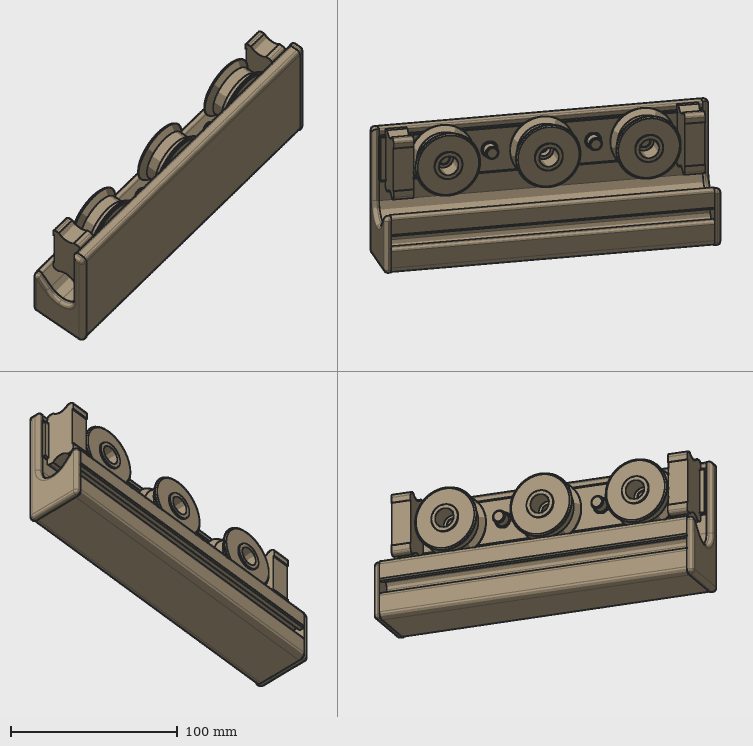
import cadquery as cq
import math


total_length = 208.0
cap_length = 4.0
body_length = total_length - 2 * cap_length
total_width = 38.8
front_x = -19.9
back_x = front_x + total_width
wall_top_z = 81.8

wall_face_x = 10.85
back_arc_radius = 10.6
front_arc_radius = 13.0
channel_bottom_z = 25.5
slope_angle = 45.0
lip_radius = 2.3
bottom_edge_radius = 4.0
top_edge_radius = 2.6
rim_radius = 1.2
cap_edge_radius = 2.6
cap_clearance = 0.2

pad_face_x = 9.65
pad_centre_z = 62.9
pad_height = 27.3
pad_length = 198.4
relief_side = 1.3
relief_depth = 0.6

slot_bottom_z = 16.5
slot_top_z = 23.9
slot_lip_radius = 2.0
slot_chamfer_height = 1.2
slot_chamfer_depth = 0.6
cavity_start_x = front_x + 3.6
cavity_end_x = front_x + 11.5
cavity_bottom_z = 12.7
cavity_top_z = 27.0
cavity_radius = 5.0

roller_pitch = 62.0
roller_z = 62.35
roller_diameter = 39.9
roller_groove_diameter = 33.5
roller_groove_half_flat = 3.45
roller_slope_end = 7.1
roller_rim_end = 7.8
roller_flange_half = 8.5
roller_chamfer_height = 1.0
hub_diameter = 17.2
roller_bore_diameter = 12.0
roller_hole_diameter = 8.0

pin_y = 32.0
pin_z = 63.2
pin_diameter = 8.0
pin_tip_diameter = 6.5
pin_flare_diameter = 10.0
pin_tip_x = 2.8
pin_flare_height = (pin_flare_diameter - pin_diameter) / 2
pin_tip_height = (pin_diameter - pin_tip_diameter) / 2
roller_bore_floor_x = pin_tip_x + pin_tip_height

wiper_length = 12.5
wiper_centre_y = 90.0
wiper_centre_z = 62.8
wiper_half_height = 19.65
wiper_front_x = -10.35
wiper_corner_radius = 2.4
wiper_back_gap = 0.1
wiper_land_end = 5.9
wiper_arc_radius = 8.0


def profile(clearance):
    """Closed J-shaped cross section; clearance widens the channel and lowers the lip."""
    back_radius = back_arc_radius + clearance
    front_radius = front_arc_radius + clearance
    tip_radius = lip_radius + clearance
    bottom_z = channel_bottom_z - clearance
    wall_x = wall_face_x + clearance
    bottom_x = wall_x - back_radius
    back_centre_z = bottom_z + back_radius
    front_centre_z = bottom_z + front_radius
    diagonal = math.sin(math.radians(slope_angle))
    half_slope = math.radians(slope_angle / 2)
    back_mid = (bottom_x + back_radius * diagonal, back_centre_z - back_radius * diagonal)
    front_mid = (
        bottom_x - front_radius * math.sin(half_slope),
        front_centre_z - front_radius * math.cos(half_slope),
    )
    slope_start = (bottom_x - front_radius * diagonal, front_centre_z - front_radius * diagonal)
    lip_x = front_x + tip_radius
    lip_z = sum(slope_start) - lip_x - 2 * tip_radius * diagonal
    lip_mid = (
        lip_x - tip_radius * math.sin(half_slope),
        lip_z + tip_radius * math.cos(half_slope),
    )
    return (
        cq.Workplane("XZ")
        .moveTo(front_x, 0)
        .lineTo(back_x, 0)
        .lineTo(back_x, wall_top_z)
        .lineTo(wall_x, wall_top_z)
        .lineTo(wall_x, back_centre_z)
        .threePointArc(back_mid, (bottom_x, bottom_z))
        .threePointArc(front_mid, slope_start)
        .lineTo(lip_x + tip_radius * diagonal, lip_z + tip_radius * diagonal)
        .threePointArc(lip_mid, (front_x, lip_z))
        .close()
    )


def round_long_edges(block, bottom_radius, top_radius):
    block = block.edges("|Y and <Z").fillet(bottom_radius)
    top_back_corner = cq.selectors.NearestToPointSelector((back_x, 0, wall_top_z))
    return block.edges(top_back_corner).fillet(top_radius)


def extrude_centred(outline, length):
    return outline.extrude(length / 2, both=True)


def frustum(x, y, z, start_diameter, end_diameter, height):
    """Cone section that starts at x and runs toward -X."""
    direction = cq.Vector(-1, 0, 0)
    solid = cq.Solid.makeCone(start_diameter / 2, end_diameter / 2, height, cq.Vector(x, y, z), direction)
    return cq.Workplane(solid)


def make_pin(y, z, base_x):
    """Round pin with a flared foot and a chamfered tip."""
    shank_start = base_x - pin_flare_height
    shank_end = pin_tip_x + pin_tip_height
    pin = frustum(base_x, y, z, pin_flare_diameter, pin_diameter, pin_flare_height)
    shank = cq.Workplane("YZ", origin=(shank_end, y, z)).circle(pin_diameter / 2)
    pin = pin.union(shank.extrude(shank_start - shank_end))
    return pin.union(frustum(shank_end, y, z, pin_diameter, pin_tip_diameter, pin_tip_height))


def slot_cutter():
    mouth = (
        cq.Workplane("XZ")
        .moveTo(front_x, slot_bottom_z - slot_lip_radius)
        .radiusArc((front_x + slot_lip_radius, slot_bottom_z), slot_lip_radius)
        .lineTo(cavity_end_x - cavity_radius, slot_bottom_z)
        .lineTo(cavity_end_x - cavity_radius, slot_top_z)
        .lineTo(front_x + slot_chamfer_depth, slot_top_z)
        .lineTo(front_x, slot_top_z + slot_chamfer_height)
        .close()
    )
    cavity = (
        cq.Workplane("XZ")
        .moveTo(cavity_start_x, cavity_bottom_z)
        .lineTo(cavity_end_x, cavity_bottom_z)
        .lineTo(cavity_end_x, cavity_top_z)
        .lineTo(cavity_start_x, cavity_top_z)
        .close()
    )
    cavity = extrude_centred(cavity, body_length).edges("|Y and >X").fillet(cavity_radius)
    return cavity.union(extrude_centred(mouth, body_length))


def make_housing():
    housing = extrude_centred(profile(0), body_length)
    housing = round_long_edges(housing, bottom_edge_radius, top_edge_radius)
    rim_corner = cq.selectors.NearestToPointSelector((wall_face_x, 0, wall_top_z))
    housing = housing.edges(rim_corner).fillet(rim_radius)
    housing = housing.cut(slot_cutter())

    half_pad = pad_height / 2
    half_mouth = half_pad + relief_side
    relief_x = wall_face_x + relief_depth
    relief = (
        cq.Workplane("XZ")
        .moveTo(wall_face_x, pad_centre_z - half_mouth)
        .lineTo(wall_face_x, pad_centre_z + half_mouth)
        .lineTo(relief_x, pad_centre_z + half_pad)
        .lineTo(relief_x, pad_centre_z - half_pad)
        .close()
    )
    housing = housing.cut(extrude_centred(relief, body_length))
    pad_depth = relief_x - pad_face_x
    pad = cq.Workplane("XY").box(pad_depth, pad_length, pad_height)
    housing = housing.union(pad.translate((pad_face_x + pad_depth / 2, 0, pad_centre_z)))

    for y in (-pin_y, pin_y):
        recess = cq.Workplane("YZ", origin=(pad_face_x, y, pin_z)).circle(pin_flare_diameter / 2)
        housing = housing.cut(recess.extrude(pin_flare_height))
        housing = housing.union(make_pin(y, pin_z, pad_face_x + pin_flare_height))

    for y in (-roller_pitch, roller_pitch):
        stud = cq.Workplane("YZ", origin=(roller_bore_floor_x, y, roller_z)).circle(pin_diameter / 2)
        housing = housing.union(stud.extrude(pad_face_x - roller_bore_floor_x))
        tip = frustum(roller_bore_floor_x, y, roller_z, pin_diameter, pin_tip_diameter, pin_tip_height)
        housing = housing.union(tip)
    return housing


def make_cap(side):
    """End cap; side is -1 for the -Y end and +1 for the +Y end."""
    cap = extrude_centred(profile(cap_clearance), cap_length)
    cap = round_long_edges(cap, cap_edge_radius, cap_edge_radius)
    outer_face = "<Y" if side < 0 else ">Y"
    cap = cap.faces(outer_face).edges().fillet(cap_edge_radius)
    return cap.translate((0, side * (body_length + cap_length) / 2, 0))


def make_roller(y):
    outer_radius = roller_diameter / 2
    face_radius = outer_radius - roller_chamfer_height
    groove_radius = roller_groove_diameter / 2
    hub_radius = hub_diameter / 2
    bore_radius = roller_bore_diameter / 2
    hole_radius = roller_hole_diameter / 2
    half_section = [
        (-pad_face_x, bore_radius),
        (-pad_face_x, hub_radius),
        (-roller_flange_half, hub_radius),
        (-roller_flange_half, face_radius),
        (-roller_rim_end, outer_radius),
        (-roller_slope_end, outer_radius),
        (-roller_groove_half_flat, groove_radius),
        (roller_groove_half_flat, groove_radius),
        (roller_slope_end, outer_radius),
        (roller_rim_end, outer_radius),
        (roller_flange_half, face_radius),
        (roller_flange_half, hub_radius),
        (pad_face_x, hub_radius),
        (pad_face_x, hole_radius),
        (roller_bore_floor_x, hole_radius),
        (roller_bore_floor_x, bore_radius),
    ]
    roller = cq.Workplane("XZ").polyline(half_section).close().revolve(360, (0, 0, 0), (1, 0, 0))
    return roller.translate((0, y, roller_z))


def make_wiper(y):
    wiper_back_x = wall_face_x - wiper_back_gap
    wiper = cq.Workplane("XY").box(wiper_back_x - wiper_front_x, wiper_length, 2 * wiper_half_height)
    wiper = wiper.translate(((wiper_front_x + wiper_back_x) / 2, 0, 0))
    wiper = wiper.edges("|Y").fillet(wiper_corner_radius)
    arc_centre_z = wiper_half_height + math.sqrt(wiper_arc_radius**2 - wiper_land_end**2)
    for z in (-arc_centre_z, arc_centre_z):
        seat = cq.Workplane("XZ").center(0, z).circle(wiper_arc_radius)
        wiper = wiper.cut(extrude_centred(seat, wiper_length))
    wiper = wiper.translate((0, y, wiper_centre_z))
    for x, side_x in ((-pad_face_x, wiper_front_x), (pad_face_x, wiper_back_x)):
        depth = abs(side_x - x)
        recess = cq.Workplane("XY").box(depth, wiper_length, pad_height)
        wiper = wiper.cut(recess.translate(((x + side_x) / 2, y, pad_centre_z)))
    return wiper


housing = make_housing()
caps = [make_cap(side) for side in (-1, 1)]
rollers = [make_roller(index * roller_pitch) for index in (-1, 0, 1)]
wipers = [make_wiper(side * wiper_centre_y) for side in (-1, 1)]

result = cq.Compound.makeCompound([body.val() for body in [housing, *caps, *rollers, *wipers]])